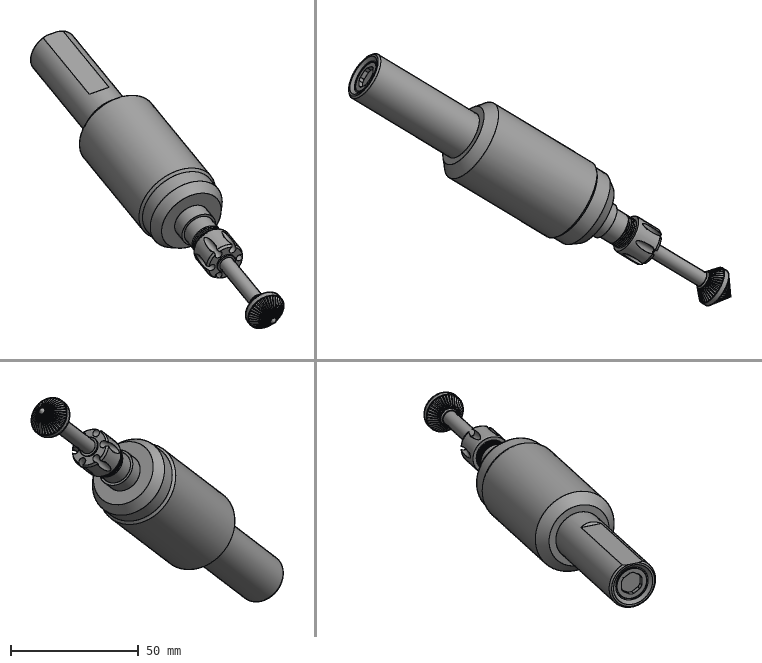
import cadquery as cq
import math

LENGTH = 184.2

SHANK_R = 20.0 / 2
SHANK_END = 50.1
SHANK_CHAMFER = 0.7
FLAT_HEIGHT = 9.0
FLAT_END = 38.9

RECESS_R = 8.5
RECESS_FLOOR_R = 14.0 / 2
RECESS_DEPTH = 1.1
STEP_R = 12.9 / 2
STEP_DEPTH = 0.2
SOCKET_ACROSS_FLATS = 8.7
SOCKET_BORE_R = 4.6
SOCKET_DEPTH = 1.8

HOUSING_R = 34.0 / 2
HOUSING_BACK_CHAMFER = 4.0
SHOULDER_END = 104.5
CAP_R = 32.0 / 2
CAP_TAPER_START = 110.9
CAP_END = 115.1
CAP_END_R = 13.3

COLLAR_R = 15.0 / 2
COLLAR_END = 121.2
SPINDLE_R = 12.9 / 2
THREAD_START = 127.7
THREAD_DEPTH = 0.4
THREAD_RIDGES = 5

NUT_R = 16.0 / 2
NUT_START = 131.7
NUT_END = 143.5
NUT_BACK_BEVEL = (0.7, 0.2)
NUT_FRONT_BEVEL = (1.1, 0.5)
NOTCH_COUNT = 6
NOTCH_R = 1.5
NOTCH_START = 133.7
NOTCH_FRONT_AXIS_R = 6.3
COLLET_R = 8.0 / 2
COLLET_END = 144.2

BURR_SHAFT_R = 6.0 / 2
BURR_R = NUT_R
BURR_START = 169.6
BURR_BACK_R = 3.3
BELT_START = 174.6
BELT_END = 176.8
TOOTH_COUNT = 36
TOOTH_DEPTH = 0.08
BACK_TEETH_START = 170.4
FRONT_TEETH_END = 183.0


def disc(x_start, x_end, radius, end_radius=None):
    """Cylinder, or cone when end_radius is given, on the X axis."""
    top = radius if end_radius is None else end_radius
    profile = [(x_start, 0), (x_start, radius), (x_end, top)]
    if top > 0:
        profile.append((x_end, 0))
    return cq.Workplane("XY").polyline(profile).close().revolve(360, (0, 0, 0), (1, 0, 0))


def make_turned_body():
    shoulder = HOUSING_R - CAP_R
    profile = [
        (0, 0),
        (0, SHANK_R - SHANK_CHAMFER),
        (SHANK_CHAMFER, SHANK_R),
        (SHANK_END, SHANK_R),
        (SHANK_END, HOUSING_R - HOUSING_BACK_CHAMFER),
        (SHANK_END + HOUSING_BACK_CHAMFER, HOUSING_R),
        (SHOULDER_END - shoulder, HOUSING_R),
        (SHOULDER_END, CAP_R),
        (CAP_TAPER_START, CAP_R),
        (CAP_END, CAP_END_R),
        (CAP_END, COLLAR_R),
        (COLLAR_END, COLLAR_R),
        (COLLAR_END, SPINDLE_R),
        (THREAD_START, SPINDLE_R),
    ]
    pitch = (NUT_START - THREAD_START) / THREAD_RIDGES
    for ridge in range(THREAD_RIDGES):
        x = THREAD_START + ridge * pitch
        profile.append((x + pitch / 2, SPINDLE_R - THREAD_DEPTH))
        profile.append((x + pitch, SPINDLE_R))
    back_length, back_drop = NUT_BACK_BEVEL
    front_length, front_drop = NUT_FRONT_BEVEL
    profile += [
        (NUT_START, NUT_R - back_drop),
        (NUT_START + back_length, NUT_R),
        (NUT_END - front_length, NUT_R),
        (NUT_END, NUT_R - front_drop),
        (NUT_END, COLLET_R),
        (COLLET_END, COLLET_R),
        (COLLET_END, BURR_SHAFT_R),
        (BURR_START, BURR_SHAFT_R),
        (BURR_START, 0),
    ]
    return cq.Workplane("XY").polyline(profile).close().revolve(360, (0, 0, 0), (1, 0, 0))


def make_flat_cutter():
    """Clamping flat on top of the shank with a 45 degree run-out."""
    rise = 2 * (SHANK_R - FLAT_HEIGHT)
    profile = [
        (0, FLAT_HEIGHT),
        (FLAT_END, FLAT_HEIGHT),
        (FLAT_END + rise, FLAT_HEIGHT + rise),
        (0, FLAT_HEIGHT + rise),
    ]
    return cq.Workplane("XZ").polyline(profile).close().extrude(SHANK_R, both=True)


def make_end_recess_cutter():
    recess = disc(0, RECESS_DEPTH, RECESS_R, RECESS_FLOOR_R)
    socket_top = RECESS_DEPTH + STEP_DEPTH
    step = disc(RECESS_DEPTH, socket_top, STEP_R)
    across_corners = SOCKET_ACROSS_FLATS / math.cos(math.pi / 6)
    hexagon = (
        cq.Workplane("YZ", origin=(socket_top, 0, 0))
        .transformed(rotate=(0, 0, 90))
        .polygon(6, across_corners)
        .extrude(SOCKET_DEPTH)
    )
    socket = hexagon.intersect(disc(socket_top, socket_top + SOCKET_DEPTH, SOCKET_BORE_R))
    return recess.union(step).union(socket)


def make_notch_cutter(index):
    """Round wrench notch that starts at a point on the nut and deepens towards its front."""
    start = cq.Vector(NOTCH_START, -(NUT_R + NOTCH_R), 0)
    run = cq.Vector(NUT_END, -NOTCH_FRONT_AXIS_R, 0) - start
    cylinder = cq.Workplane(cq.Solid.makeCylinder(NOTCH_R, 2 * run.Length, start, run))
    notch = cylinder.intersect(disc(NUT_START, NUT_END, HOUSING_R))
    return notch.rotate((0, 0, 0), (1, 0, 0), index * 360 / NOTCH_COUNT)


def toothed_cone(x_start, radius_start, x_end, radius_end):
    """Cone frustum with straight V teeth that shrink with its radius."""
    def ring(radius):
        points = []
        for i in range(2 * TOOTH_COUNT):
            r = radius * (1 - TOOTH_DEPTH * (i % 2))
            angle = i * math.pi / TOOTH_COUNT
            points.append((r * math.cos(angle), r * math.sin(angle)))
        return points

    return (
        cq.Workplane("YZ", origin=(x_start, 0, 0))
        .polyline(ring(radius_start))
        .close()
        .workplane(offset=x_end - x_start)
        .polyline(ring(radius_end))
        .close()
        .loft(ruled=True)
    )


def make_burr_head():
    back_slope = (BURR_R - BURR_BACK_R) / (BELT_START - BURR_START)
    back_teeth_r = BURR_BACK_R + back_slope * (BACK_TEETH_START - BURR_START)
    front_teeth_r = BURR_R * (LENGTH - FRONT_TEETH_END) / (LENGTH - BELT_END)
    neck = disc(BURR_START, BACK_TEETH_START, BURR_BACK_R, back_teeth_r)
    back_teeth = toothed_cone(BACK_TEETH_START, back_teeth_r, BELT_START, BURR_R)
    belt = disc(BELT_START, BELT_END, BURR_R)
    front_teeth = toothed_cone(BELT_END, BURR_R, FRONT_TEETH_END, front_teeth_r)
    tip = disc(FRONT_TEETH_END, LENGTH, front_teeth_r, 0)
    return neck.union(back_teeth).union(belt).union(front_teeth).union(tip)


result = make_turned_body().cut(make_flat_cutter()).cut(make_end_recess_cutter())
for notch_index in range(NOTCH_COUNT):
    result = result.cut(make_notch_cutter(notch_index))
result = result.union(make_burr_head())